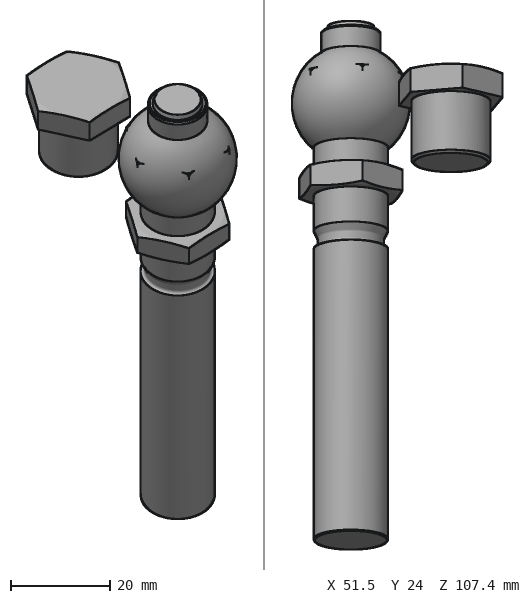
import cadquery as cq
import math


hex_flats = 19.0
hex_corners = hex_flats / math.cos(math.pi / 6)
head_height = 5.4
nut_height = 5.0
hex_chamfer_angle = 15.0
hex_face_diameter = 18.9

spindle_diameter = 15.0
spindle_height = 107.4
spindle_end_chamfer = 0.2
groove_diameter = 13.4
groove_bottom = 60.9
groove_top = 64.7
groove_taper_angle = 26.0
groove_fillet = 0.6
stud_diameter = 12.0
stud_rim_diameter = 11.3
stud_rim_chamfer = (stud_diameter - stud_rim_diameter) / 2
tip_base_diameter = 10.1
tip_top_diameter = 9.3
tip_height = 1.1

ball_diameter = 24.0
ball_center = 91.4
captive_nut_bottom = 92.0
shoulder_height = captive_nut_bottom + nut_height
lock_nut_bottom = 72.0

plug_x = -30.0
plug_bottom = 73.0
plug_shank_diameter = 16.0
plug_shank_length = 12.8
plug_end_chamfer = 0.5


def make_bevel_blank(bottom, height, bevel_lower_face):
    """Round blank with coned ends that bevels the corners of the hexagon it is intersected with."""
    top = bottom + height
    face_radius = hex_face_diameter / 2
    corner_radius = hex_corners / 2
    drop = (corner_radius - face_radius) * math.tan(math.radians(hex_chamfer_angle))
    outline = (
        cq.Workplane("XZ")
        .moveTo(0, top)
        .lineTo(face_radius, top)
        .lineTo(corner_radius, top - drop)
    )
    if bevel_lower_face:
        outline = outline.lineTo(corner_radius, bottom + drop).lineTo(face_radius, bottom)
    else:
        outline = outline.lineTo(corner_radius, bottom)
    return outline.lineTo(0, bottom).close().revolve(360, (0, 0, 0), (0, 1, 0))


def make_hexagon(bottom, height, bevel_lower_face):
    """Hexagonal block with two corners on the Y direction and a beveled upper face."""
    block = (
        cq.Workplane("XY", origin=(0, 0, bottom))
        .transformed(rotate=(0, 0, 90))
        .polygon(6, hex_corners)
        .extrude(height)
    )
    return block.intersect(make_bevel_blank(bottom, height, bevel_lower_face))


def make_nut(bottom):
    """Hexagon nut that fits on the spindle."""
    bore = (
        cq.Workplane("XY", origin=(0, 0, bottom))
        .circle(spindle_diameter / 2)
        .extrude(nut_height)
    )
    return make_hexagon(bottom, nut_height, True).cut(bore)


def make_spindle():
    """Stepped spindle with a relief groove, a thinner stud on top and a tapered tip."""
    radius = spindle_diameter / 2
    groove_radius = groove_diameter / 2
    taper = math.radians(groove_taper_angle)
    taper_end_radius = groove_radius + groove_fillet * (1 - math.cos(taper))
    taper_end_height = groove_top - (radius - taper_end_radius) / math.tan(taper)
    floor_top = taper_end_height - groove_fillet * math.sin(taper)
    rim_height = spindle_height - tip_height
    return (
        cq.Workplane("XZ")
        .moveTo(0, 0)
        .lineTo(radius - spindle_end_chamfer, 0)
        .lineTo(radius, spindle_end_chamfer)
        .lineTo(radius, groove_bottom)
        .lineTo(groove_radius + groove_fillet, groove_bottom)
        .radiusArc((groove_radius, groove_bottom + groove_fillet), groove_fillet)
        .lineTo(groove_radius, floor_top)
        .tangentArcPoint((taper_end_radius, taper_end_height), relative=False)
        .lineTo(radius, groove_top)
        .lineTo(radius, shoulder_height)
        .lineTo(stud_diameter / 2, shoulder_height)
        .lineTo(stud_diameter / 2, rim_height - stud_rim_chamfer)
        .lineTo(stud_rim_diameter / 2, rim_height)
        .lineTo(tip_base_diameter / 2, rim_height)
        .lineTo(tip_top_diameter / 2, spindle_height)
        .lineTo(0, spindle_height)
        .close()
        .revolve(360, (0, 0, 0), (0, 1, 0))
    )


def make_ball(spindle, captive_nut):
    """Ball with a stepped bore for the spindle and a pocket for the captive nut."""
    ball = cq.Workplane("XY", origin=(0, 0, ball_center)).sphere(ball_diameter / 2)
    return ball.cut(spindle).cut(captive_nut)


def make_plug():
    """Hexagon-headed plug with a plain shank, chamfered at its lower end."""
    shank = (
        cq.Workplane("XY", origin=(0, 0, plug_bottom))
        .circle(plug_shank_diameter / 2)
        .extrude(plug_shank_length)
        .faces("<Z")
        .chamfer(plug_end_chamfer)
    )
    head = make_hexagon(plug_bottom + plug_shank_length, head_height, False)
    return head.union(shank).translate((plug_x, 0, 0))


spindle = make_spindle()
lock_nut, captive_nut = [make_nut(bottom) for bottom in (lock_nut_bottom, captive_nut_bottom)]
ball = make_ball(spindle, captive_nut)
plug = make_plug()

result = cq.Compound.makeCompound(
    [spindle.val(), lock_nut.val(), captive_nut.val(), ball.val(), plug.val()]
)